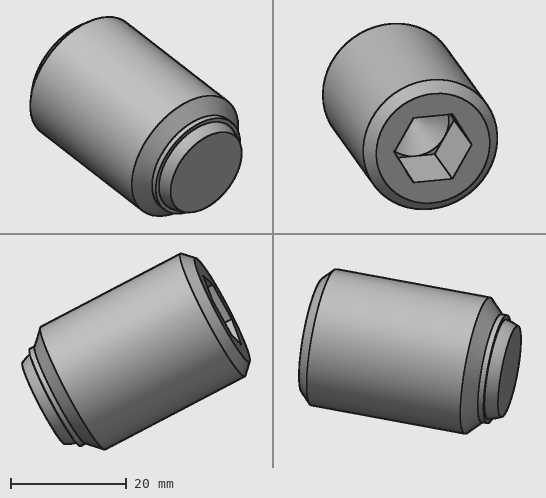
import cadquery as cq
import math

length = 35.0
body_radius = 12.0
socket_end_chamfer = 1.85

taper = 2.5
collar_length = 1.0
ball_projection = 2.2
collar_radius = body_radius - taper
ball_radius = 9.0
flat_radius = 8.0

across_flats = 12.0
socket_depth = 12.0
drill_point_angle = 100.0
drill_radius = across_flats / 2

collar_end = length - ball_projection
taper_end = collar_end - collar_length
taper_start = taper_end - taper

ball_centre = length - math.sqrt(ball_radius**2 - flat_radius**2)


def sphere_radius_at(x):
    """Radius of the ball's cross-section at position x."""
    return math.sqrt(ball_radius**2 - (x - ball_centre) ** 2)


def make_body():
    """Revolve the full outer profile about the X axis."""
    ball_arc_middle = (collar_end + length) / 2
    return (
        cq.Workplane("XY")
        .moveTo(0, 0)
        .lineTo(0, body_radius - socket_end_chamfer)
        .lineTo(socket_end_chamfer, body_radius)
        .lineTo(taper_start, body_radius)
        .lineTo(taper_end, collar_radius)
        .lineTo(collar_end, collar_radius)
        .lineTo(collar_end, sphere_radius_at(collar_end))
        .threePointArc((ball_arc_middle, sphere_radius_at(ball_arc_middle)), (length, flat_radius))
        .lineTo(length, 0)
        .close()
        .revolve(360, (0, 0, 0), (1, 0, 0))
    )


def make_socket():
    """Hexagon with two corners on the Y axis, ending in the drill point."""
    across_corners = across_flats / math.cos(math.radians(30))
    hexagon = cq.Workplane("YZ").polygon(6, across_corners).extrude(socket_depth)

    point_depth = drill_radius / math.tan(math.radians(drill_point_angle / 2))
    drill_point = (
        cq.Workplane("XY")
        .moveTo(socket_depth, 0)
        .lineTo(socket_depth, drill_radius)
        .lineTo(socket_depth + point_depth, 0)
        .close()
        .revolve(360, (0, 0, 0), (1, 0, 0))
    )
    return hexagon.union(drill_point)


result = make_body().cut(make_socket())